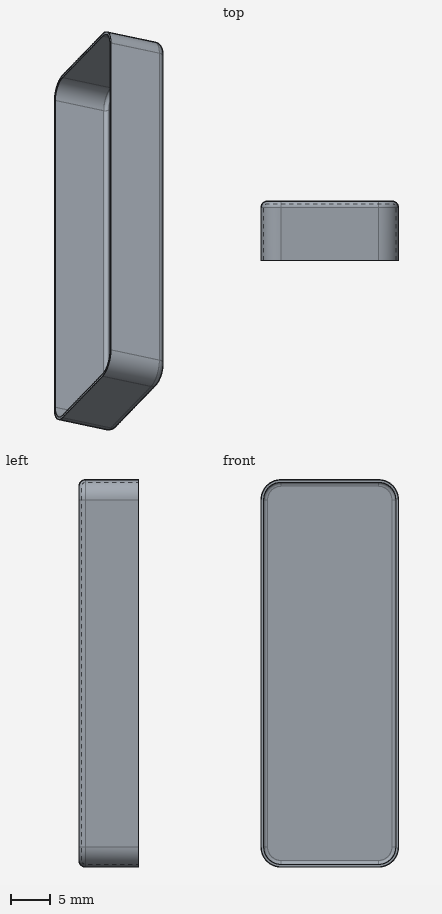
import cadquery as cq

width = 17.3
depth = 7.5
height = 48.8

wall = 0.35
corner_radius = 2.55
floor_edge_radius = 0.85


def rounded_block(inset):
    """Block with rounded corners and floor edge, its outer faces set in by `inset`."""
    block_depth = depth - inset
    return (
        cq.Workplane("XY")
        .box(width - 2 * inset, block_depth, height - 2 * inset)
        .translate((0, block_depth / 2, 0))
        .edges("|Y")
        .fillet(corner_radius - inset)
        .faces(">Y")
        .edges()
        .fillet(floor_edge_radius - inset)
    )


result = rounded_block(0).cut(rounded_block(wall))